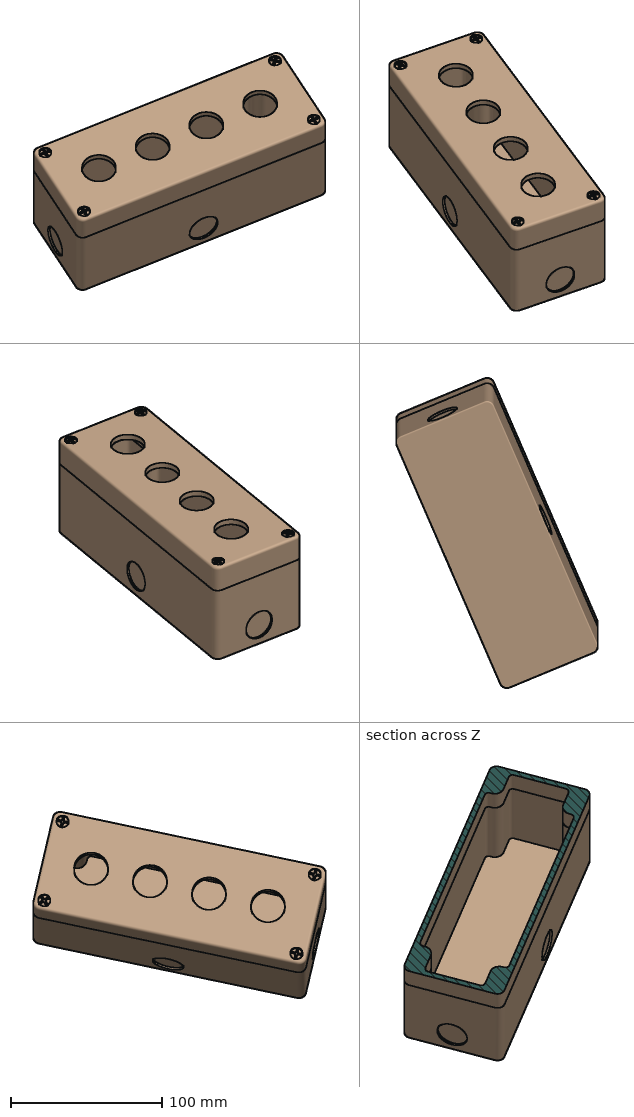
import cadquery as cq

LENGTH = 185.0
WIDTH = 70.0
HEIGHT = 74.2
LID_HEIGHT = 18.5
BASE_HEIGHT = HEIGHT - LID_HEIGHT
CORNER_RADIUS = 5.0
TOP_EDGE_RADIUS = 1.8
BOTTOM_EDGE_RADIUS = 1.0

WALL = 4.0
CAVITY_WIDTH = WIDTH - 2 * WALL
CAVITY_LENGTH = LENGTH - 2 * WALL
PILLAR_INNER_X = 20.7
PILLAR_INNER_Y = 68.8
PILLAR_CORNER_RADIUS = 6.3
PILLAR_ROOT_RADIUS = 2.5

BUTTON_COUNT = 4
BUTTON_DIAMETER = 22.5
BUTTON_PITCH = 40.0

KNOCKOUT_DIAMETER = 20.9
KNOCKOUT_HEIGHT = 15.7
KNOCKOUT_DEPTH = 1.5

SCREW_X = 28.1
SCREW_Y = 85.5
SCREW_DIAMETER = 8.1
SCREW_LENGTH = WALL
SCREW_EDGE_RADIUS = 1.7
SLOT_WIDTH = 1.1
SOCKET_SIDE = 2.4
SOCKET_ANGLE = 45
DRIVE_DEPTH = 2.2
TURNED_SCREW_ANGLE = 45

SCREWS = [
    (SCREW_X, SCREW_Y, 0),
    (SCREW_X, -SCREW_Y, 0),
    (-SCREW_X, -SCREW_Y, 0),
    (-SCREW_X, SCREW_Y, TURNED_SCREW_ANGLE),
]


def rounded_block(bottom, height):
    """Block with the enclosure's rounded outline."""
    block = cq.Workplane("XY").workplane(offset=bottom).rect(WIDTH, LENGTH).extrude(height)
    return block.edges("|Z").fillet(CORNER_RADIUS)


def cavity(bottom, top):
    """Void inside the walls: a long and a wide box crossing between the corner pillars."""
    height = top - bottom
    plane = cq.Workplane("XY").workplane(offset=bottom)
    long_box = plane.rect(2 * PILLAR_INNER_X, CAVITY_LENGTH).extrude(height)
    wide_box = plane.rect(CAVITY_WIDTH, 2 * PILLAR_INNER_Y).extrude(height)

    long_box = long_box.edges("|Z").fillet(PILLAR_ROOT_RADIUS)
    wide_box = wide_box.edges("|Z").fillet(PILLAR_ROOT_RADIUS)
    pillar_corners = cq.selectors.BoxSelector(
        (-PILLAR_INNER_X - PILLAR_ROOT_RADIUS, -PILLAR_INNER_Y - PILLAR_ROOT_RADIUS, bottom),
        (PILLAR_INNER_X + PILLAR_ROOT_RADIUS, PILLAR_INNER_Y + PILLAR_ROOT_RADIUS, top),
    )
    return long_box.union(wide_box).edges("|Z").edges(pillar_corners).fillet(PILLAR_CORNER_RADIUS)


def make_base():
    base = rounded_block(0, BASE_HEIGHT).faces("<Z").edges().fillet(BOTTOM_EDGE_RADIUS)
    base = base.cut(cavity(WALL, BASE_HEIGHT))

    for plane, span in (("XZ", LENGTH), ("YZ", WIDTH)):
        for side in (-1, 1):
            knockout = (
                cq.Workplane(plane)
                .workplane(offset=side * span / 2)
                .center(0, KNOCKOUT_HEIGHT)
                .circle(KNOCKOUT_DIAMETER / 2)
                .extrude(-side * KNOCKOUT_DEPTH)
            )
            base = base.cut(knockout)
    return base


def make_lid():
    lid = rounded_block(BASE_HEIGHT, LID_HEIGHT).faces(">Z").edges().fillet(TOP_EDGE_RADIUS)
    lid = lid.cut(cavity(BASE_HEIGHT, HEIGHT - WALL))

    top = cq.Workplane("XY").workplane(offset=HEIGHT)
    buttons = top.rarray(1.8, BUTTON_PITCH, 1, BUTTON_COUNT).circle(BUTTON_DIAMETER / 2).extrude(-WALL)
    screw_holes = (
        top.rect(2 * SCREW_X, 2 * SCREW_Y, forConstruction=True)
        .vertices()
        .circle(SCREW_DIAMETER / 2)
        .extrude(-SCREW_LENGTH)
    )
    return lid.cut(buttons).cut(screw_holes)


def make_screw(x, y, angle):
    """Screw with a cross slot and a square socket whose corners point along the slots."""
    top = cq.Workplane("XY")
    screw = top.circle(SCREW_DIAMETER / 2).extrude(-SCREW_LENGTH)
    screw = screw.faces(">Z").edges().fillet(SCREW_EDGE_RADIUS)
    for length_x, length_y in ((SCREW_DIAMETER, SLOT_WIDTH), (SLOT_WIDTH, SCREW_DIAMETER)):
        screw = screw.cut(top.rect(length_x, length_y).extrude(-DRIVE_DEPTH))
    socket = top.rect(SOCKET_SIDE, SOCKET_SIDE).extrude(-DRIVE_DEPTH)
    socket = socket.rotate((0, 0, 0), (0, 0, 1), SOCKET_ANGLE)
    return screw.cut(socket).rotate((0, 0, 0), (0, 0, 1), angle).translate((x, y, HEIGHT))


base = make_base()
lid = make_lid()
screws = [make_screw(x, y, angle) for x, y, angle in SCREWS]

result = cq.Compound.makeCompound([base.val(), lid.val(), *[screw.val() for screw in screws]])